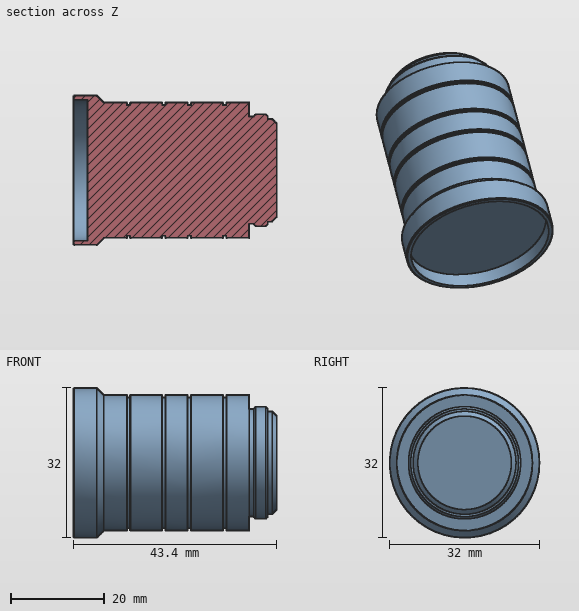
import cadquery as cq

overall_length = 43.4

flange_diameter = 32.0
flange_radius = flange_diameter / 2
flange_edge_chamfer = 0.2
flange_end = 5.0
recess_radius = 15.0
recess_depth = 3.0

barrel_radius = 14.5
barrel_end = 37.5
groove_centers = (11.75, 19.25, 24.75, 32.25)
groove_depth = 0.5
groove_floor_width = 0.6
groove_edge_chamfer = 0.15

neck_radius = 11.5
ring_radius = 12.0
ring_start = 38.4
ring_end = 41.5
ring_chamfer = ring_radius - neck_radius
tip_radius = 11.0
tip_chamfer = 1.0


def make_groove(center):
    """Ring-shaped cutter for a straight groove with chamfered edges."""
    half_floor = groove_floor_width / 2
    half_mouth = half_floor + groove_edge_chamfer
    shoulder_radius = barrel_radius - groove_edge_chamfer
    floor_radius = barrel_radius - groove_depth
    profile = [
        (center - half_mouth, flange_radius),
        (center - half_mouth, barrel_radius),
        (center - half_floor, shoulder_radius),
        (center - half_floor, floor_radius),
        (center + half_floor, floor_radius),
        (center + half_floor, shoulder_radius),
        (center + half_mouth, barrel_radius),
        (center + half_mouth, flange_radius),
    ]
    return revolve_about_x(profile)


def revolve_about_x(profile):
    """Turn a closed (position, radius) outline about the X axis."""
    return cq.Workplane("XY").polyline(profile).close().revolve(360, (0, 0, 0), (1, 0, 0))


def make_body():
    """Solid turned body, before the recess and grooves are cut."""
    cone_end = flange_end + flange_radius - barrel_radius
    profile = [
        (0, 0),
        (0, flange_radius - flange_edge_chamfer),
        (flange_edge_chamfer, flange_radius),
        (flange_end, flange_radius),
        (cone_end, barrel_radius),
        (barrel_end, barrel_radius),
        (barrel_end, neck_radius),
        (ring_start, neck_radius),
        (ring_start + ring_chamfer, ring_radius),
        (ring_end - ring_chamfer, ring_radius),
        (ring_end, ring_radius - ring_chamfer),
        (ring_end, tip_radius),
        (overall_length - tip_chamfer, tip_radius),
        (overall_length, tip_radius - tip_chamfer),
        (overall_length, 0),
    ]
    return revolve_about_x(profile)


recess = cq.Workplane("YZ").circle(recess_radius).extrude(recess_depth)
result = make_body().cut(recess)
for groove_center in groove_centers:
    result = result.cut(make_groove(groove_center))